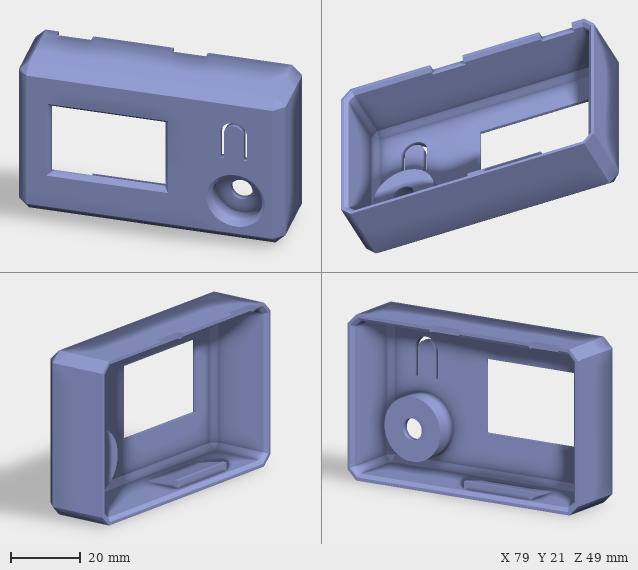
import cadquery as cq
import math

length = 79.0
depth = 21.0
height = 49.0
edge_chamfer = 3.0
wall = 2.0
front_y = -depth / 2
back_y = depth / 2
inner_front_y = front_y + wall
floor_z = wall - height / 2

rim_chamfer = 1.0

window_x = -12.5
window_z = 0.95
window_length = 33.8
window_height = 22.0
window_bevel = 1.1

button_x = 25.0
button_arc_z = 11.5
slot_end_z = 3.4
slot_outer_radius = 3.95
slot_width = 1.0

knob_x = 25.5
knob_z = -10.5
knob_diameter = 15.2
knob_depth = 6.5
knob_chamfer = 1.0
knob_cup_diameter = knob_diameter + 2 * wall
shaft_diameter = 6.4

notch_length = 10.1
notch_depth = 2 * rim_chamfer
notch_centers_x = (-27.5, 6.55)

rib_length = 22.9
rib_x = sum(notch_centers_x) / 2
rib_height = 2.4
rib_back_y = 8.2
rib_land = 1.2
rib_ramp = 11.05


def front_plane(x, y, z):
    """Sketch plane seen from the front, with its origin at x, y, z and its normal toward -Y."""
    return cq.Workplane(cq.Plane(origin=(x, y, z), xDir=(1, 0, 0), normal=(0, -1, 0)))


def block(size_x, size_z, y_start, y_end, x=0.0, z=0.0):
    """Box centred on x and z that runs back from y_start to y_end."""
    return front_plane(x, y_end, z).rect(size_x, size_z).extrude(y_end - y_start)


def disc(diameter, y_start, y_end, x, z):
    """Cylinder along Y that runs back from y_start to y_end."""
    return front_plane(x, y_end, z).circle(diameter / 2).extrude(y_end - y_start)


def inset_chamfer(inset):
    """Corner chamfer that stays parallel to the outer one when the outline moves inward."""
    return edge_chamfer - inset * (2 - math.sqrt(2))


def inset_block(inset, y_start, y_end):
    """Case-shaped block with sharp edges, moved inward by inset on its four sides."""
    return block(length - 2 * inset, height - 2 * inset, y_start, y_end)


def make_shell():
    """Open-backed case with an even wall; front rim and corner edges are chamfered alike."""
    outer = inset_block(0, front_y, back_y).edges("|Y or <Y").chamfer(edge_chamfer)
    cavity = inset_block(wall, inner_front_y, back_y)
    cavity = cavity.edges("|Y or <Y").chamfer(inset_chamfer(wall))
    return outer.cut(cavity)


def rim_flare():
    """Tapered plug that chamfers the inner edges of the open back."""
    rim_inset = wall - rim_chamfer
    plug = inset_block(rim_inset, back_y - rim_chamfer, back_y + wall)
    plug = plug.edges("|Y").chamfer(inset_chamfer(rim_inset))
    return plug.faces("<Y").chamfer(rim_chamfer)


def window():
    """Rectangular opening that widens toward the front face."""
    opening = block(window_length, window_height, front_y, inner_front_y, window_x, window_z)
    bevel = (
        front_plane(window_x, front_y, window_z)
        .rect(window_length + 2 * window_bevel, window_height + 2 * window_bevel)
        .extrude(-window_bevel, taper=45)
    )
    return opening.union(bevel)


def tongue_outline(radius):
    """Solid through the front wall: an arch of the given radius on straight legs."""
    leg_length = button_arc_z - slot_end_z
    return (
        front_plane(button_x, inner_front_y, button_arc_z)
        .moveTo(-radius, -leg_length)
        .lineTo(-radius, 0)
        .threePointArc((0, radius), (radius, 0))
        .lineTo(radius, -leg_length)
        .close()
        .extrude(wall)
    )


def button_slot():
    """Even slot that frees the tongue along its sides and its round end."""
    return tongue_outline(slot_outer_radius).cut(tongue_outline(slot_outer_radius - slot_width))


def add_knob_recess(body):
    """Cup behind the front wall with a chamfered mouth and a shaft hole."""
    recess_floor_y = front_y + knob_depth
    cup_back_y = recess_floor_y + wall
    cup = disc(knob_cup_diameter, inner_front_y, cup_back_y, knob_x, knob_z)
    recess = disc(knob_diameter, front_y, recess_floor_y, knob_x, knob_z)
    mouth = (
        front_plane(knob_x, front_y, knob_z)
        .circle(knob_diameter / 2 + knob_chamfer)
        .extrude(-knob_chamfer, taper=45)
    )
    shaft_hole = disc(shaft_diameter, recess_floor_y, cup_back_y, knob_x, knob_z)
    return body.union(cup).cut(recess).cut(mouth).cut(shaft_hole)


def rib():
    """Wedge on the bottom wall that climbs toward the back and ends in a flat land."""
    top_z = floor_z + rib_height
    root_z = floor_z - wall / 2
    land_start_y = rib_back_y - rib_land
    ramp_start_y = land_start_y - rib_ramp
    profile = [
        (rib_back_y, root_z),
        (rib_back_y, top_z),
        (land_start_y, top_z),
        (ramp_start_y, floor_z),
        (ramp_start_y, root_z),
    ]
    side_plane = cq.Workplane("YZ", origin=(rib_x - rib_length / 2, 0, 0))
    return side_plane.polyline(profile).close().extrude(rib_length)


def notch(x):
    """Cut through the top wall at its back edge."""
    notch_z = (height - wall) / 2
    return block(notch_length, wall, back_y - notch_depth, back_y, x, notch_z)


result = make_shell().cut(rim_flare())
result = result.cut(window())
result = result.cut(button_slot())
result = add_knob_recess(result)
result = result.union(rib())
for center_x in notch_centers_x:
    result = result.cut(notch(center_x))